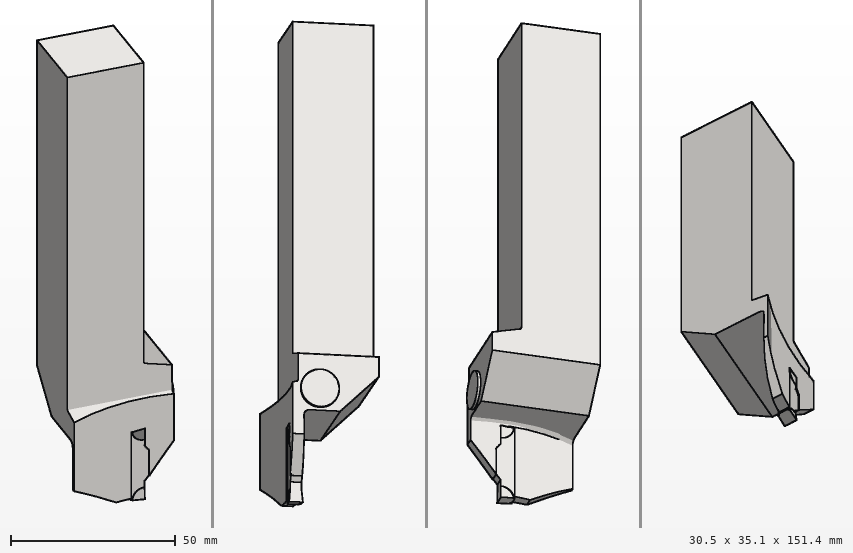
import cadquery as cq

total_height = 151.4
shank = 25.0
head_width = 30.5
head_depth = 34.2
head_bottom = 26.6
side_shoulder_top = 35.5
side_shoulder_low = 34.2
back_shoulder_top = 46.8
back_shoulder_low = 44.3
shoulder_fillet = 0.8
chamfer_x = 12.0
chamfer_top = 38.1

outer_x = 26.0
outer_back_x = 26.6
inner_x = 22.2
inner_back_x = 23.2
inner_front_x = 29.2
blade_bottom = 1.2
blade_front_z = 10.3
blade_slope_y = 15.3
blade_back_z = 18.9
root_fillet = 1.7

boss_diameter = 11.8
boss_height = 0.9
boss_x = 18.3
boss_z = 33.5

insert_length = 24.7
insert_front_y = 20.5
insert_back_y = 25.0
insert_ridge_y = 26.3
ridge_start = 6.2
ridge_full = 7.9
end_clearance = 0.5
insert_right_x = 25.7
tip_left_x = 21.8
tip_right_x = 26.0
tip_length = 4.1
tip_mid_y = 22.7
tip_mid_z = 3.5
tip_foot_y = 20.9
tip_foot_z = 0.9

edge_margin = 0.2


def extrude_x(outline, start, end):
    """Extrude a closed (y, z) outline from x = start to x = end."""
    return outline.extrude(end - start).translate((start, 0, 0))


def make_head_and_shank():
    front_outline = (
        cq.Workplane("XZ")
        .polyline([
            (0, chamfer_top),
            (chamfer_x, head_bottom),
            (head_width, head_bottom),
            (head_width, side_shoulder_low),
            (shank, side_shoulder_top),
            (shank, total_height),
            (0, total_height),
        ])
        .close()
        .extrude(-head_depth)
    )
    side_outline = (
        cq.Workplane("YZ")
        .polyline([
            (0, head_bottom),
            (head_depth, head_bottom),
            (head_depth, back_shoulder_low),
            (shank, back_shoulder_top),
            (shank, total_height),
            (0, total_height),
        ])
        .close()
    )
    body = front_outline.intersect(extrude_x(side_outline, 0, head_width))
    side_root = cq.selectors.BoxSelector(
        (shank - edge_margin, 0, side_shoulder_top - edge_margin),
        (shank + edge_margin, shank, side_shoulder_top + edge_margin),
    )
    back_root = cq.selectors.BoxSelector(
        (0, shank - edge_margin, back_shoulder_top - edge_margin),
        (shank, shank + edge_margin, back_shoulder_top + edge_margin),
    )
    return body.edges(side_root).fillet(shoulder_fillet).edges(back_root).fillet(shoulder_fillet)


def make_arc_bound():
    """Everything on the -X side of the outer arc."""
    return (
        cq.Workplane("XY")
        .moveTo(0, 0)
        .lineTo(head_width, 0)
        .threePointArc((outer_x, shank), (outer_back_x, head_depth))
        .lineTo(0, head_depth)
        .close()
        .extrude(total_height)
    )


def make_blade():
    plan = (
        cq.Workplane("XY")
        .moveTo(inner_front_x, 0)
        .lineTo(head_width, 0)
        .threePointArc((outer_x, shank), (outer_back_x, head_depth))
        .lineTo(inner_back_x, head_depth)
        .threePointArc((inner_x, shank), (inner_front_x, 0))
        .close()
        .extrude(head_bottom)
    )
    side_outline = (
        cq.Workplane("YZ")
        .polyline([
            (0, head_bottom),
            (0, blade_front_z),
            (blade_slope_y, blade_bottom),
            (insert_front_y, blade_bottom),
            (insert_front_y, ridge_full),
            (insert_ridge_y, ridge_full),
            (head_depth, blade_back_z),
            (head_depth, head_bottom),
        ])
        .close()
    )
    return plan.intersect(extrude_x(side_outline, 0, head_width))


def make_insert_outline():
    return (
        cq.Workplane("YZ")
        .polyline([
            (insert_front_y, end_clearance),
            (insert_back_y, 0),
            (insert_back_y, ridge_start),
            (insert_ridge_y, ridge_full),
            (insert_ridge_y, insert_length - ridge_full),
            (insert_back_y, insert_length - ridge_start),
            (insert_back_y, insert_length),
            (insert_front_y, insert_length - end_clearance),
        ])
        .close()
    )


def make_boss():
    return (
        cq.Workplane("XZ", origin=(boss_x, head_depth, boss_z))
        .circle(boss_diameter / 2)
        .extrude(-boss_height)
    )


def make_holder():
    holder = make_head_and_shank().intersect(make_arc_bound()).union(make_blade())
    root_edge = cq.selectors.BoxSelector(
        (inner_x - edge_margin, -edge_margin, head_bottom - edge_margin),
        (outer_x, head_depth, head_bottom + edge_margin),
    )
    holder = holder.edges(root_edge).fillet(root_fillet)
    insert_slot = extrude_x(make_insert_outline(), 0, head_width)
    return holder.cut(insert_slot).union(make_boss())


def make_tip():
    """Lower cutting tip: wide at z = 0, narrowing to the insert body."""
    taper = (
        cq.Workplane("XZ")
        .polyline([
            (tip_left_x, 0),
            (tip_right_x, 0),
            (insert_right_x, tip_length),
            (inner_x, tip_length),
        ])
        .close()
        .extrude(-insert_ridge_y)
    )
    tip_end_z = end_clearance * (insert_back_y - tip_foot_y) / (insert_back_y - insert_front_y)
    flank = (
        cq.Workplane("YZ")
        .moveTo(tip_foot_y, tip_end_z)
        .lineTo(insert_back_y, 0)
        .lineTo(insert_back_y, tip_length)
        .threePointArc((tip_mid_y, tip_mid_z), (tip_foot_y, tip_foot_z))
        .close()
    )
    return taper.intersect(extrude_x(flank, 0, head_width))


def make_insert():
    body = extrude_x(make_insert_outline(), inner_x, insert_right_x)
    lower_tip = make_tip()
    upper_tip = lower_tip.mirror("XY", (0, 0, insert_length / 2))
    return body.union(lower_tip).union(upper_tip)


holder = make_holder()
insert = make_insert()

result = cq.Compound.makeCompound([holder.val(), insert.val()])